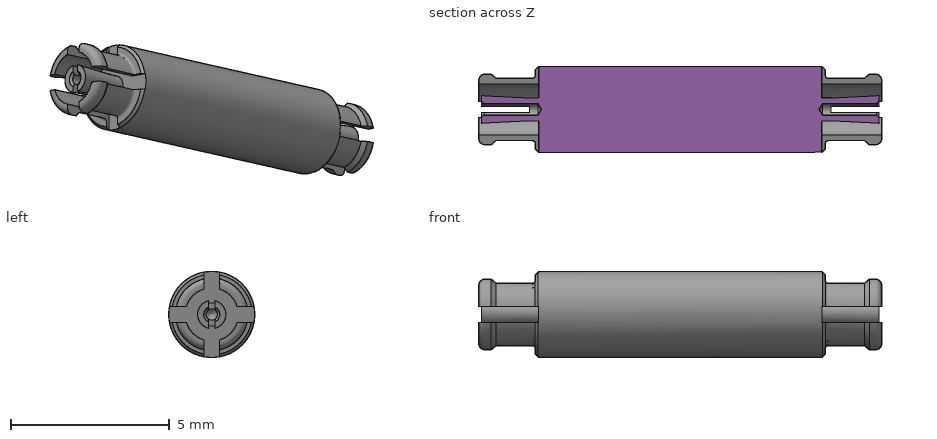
import cadquery as cq
import math


half_length = 6.35

barrel_radius = 1.36
barrel_half_length = 4.57
barrel_chamfer = 0.09

neck_radius = 1.02
neck_root_fillet = 0.09
bead_radius = 1.14
bead_tip_fillet = 0.2
bead_flat_length = 0.19
bead_taper_length = 0.15
socket_radius = 0.84
socket_floor = 4.46
finger_slot_width = 0.5

collar_radius = 0.37
collar_end = 4.75
contact_tip = 6.26
contact_tip_radius = 0.45
contact_slit_width = 0.19

hole_radius = 0.18
hole_mouth_radius = 0.25
hole_mouth_depth = 0.08
hole_depth = 1.78
drill_point_angle = 118.0


def revolve_about_x(profile):
    """Close a half profile drawn in the XY plane and spin it around the X axis."""
    return profile.close().revolve(360, (0, 0, 0), (1, 0, 0))


def outer_half():
    """Half of the barrel with the neck and rounded bead of its +X end, still solid."""
    bead_flat_start = half_length - bead_tip_fillet
    bead_flat_end = bead_flat_start - bead_flat_length
    fillet_reach = math.sqrt(0.5)
    tip_arc_middle = (
        bead_flat_start + bead_tip_fillet * fillet_reach,
        bead_radius - bead_tip_fillet * (1 - fillet_reach),
    )
    root_arc_middle = (
        barrel_half_length + neck_root_fillet * (1 - fillet_reach),
        neck_radius + neck_root_fillet * (1 - fillet_reach),
    )
    profile = (
        cq.Workplane("XY")
        .lineTo(0, barrel_radius)
        .lineTo(barrel_half_length - barrel_chamfer, barrel_radius)
        .lineTo(barrel_half_length, barrel_radius - barrel_chamfer)
        .lineTo(barrel_half_length, neck_radius + neck_root_fillet)
        .threePointArc(root_arc_middle, (barrel_half_length + neck_root_fillet, neck_radius))
        .lineTo(bead_flat_end - bead_taper_length, neck_radius)
        .lineTo(bead_flat_end, bead_radius)
        .lineTo(bead_flat_start, bead_radius)
        .threePointArc(tip_arc_middle, (half_length, bead_radius - bead_tip_fillet))
        .lineTo(half_length, 0)
    )
    return revolve_about_x(profile)


def socket_and_slots():
    """Material removed to leave four fingers: the round socket and two crossed slots."""
    depth = half_length - socket_floor
    floor = cq.Workplane("YZ", origin=(socket_floor, 0, 0))
    slot_length = 2 * barrel_radius
    return (
        floor.circle(socket_radius).extrude(depth)
        .union(floor.rect(slot_length, finger_slot_width).extrude(depth))
        .union(floor.rect(finger_slot_width, slot_length).extrude(depth))
    )


def centre_contact():
    """Collar on the socket floor carrying a contact that flares towards its tip."""
    profile = (
        cq.Workplane("XY")
        .lineTo(0, collar_radius)
        .lineTo(collar_end, collar_radius)
        .lineTo(contact_tip, contact_tip_radius)
        .lineTo(contact_tip, 0)
    )
    return revolve_about_x(profile)


def contact_hole():
    """Blind hole with a chamfered mouth and a drill-point bottom."""
    hole_bottom = contact_tip - hole_depth
    point_length = hole_radius / math.tan(math.radians(drill_point_angle / 2))
    profile = (
        cq.Workplane("XY")
        .moveTo(hole_bottom - point_length, 0)
        .lineTo(hole_bottom, hole_radius)
        .lineTo(contact_tip - hole_mouth_depth, hole_radius)
        .lineTo(contact_tip, hole_mouth_radius)
        .lineTo(contact_tip, 0)
    )
    return revolve_about_x(profile)


def contact_slit():
    """Slit that splits the contact along the XZ plane, down to the collar."""
    return (
        cq.Workplane("YZ", origin=(collar_end, 0, 0))
        .rect(contact_slit_width, 2 * contact_tip_radius)
        .extrude(contact_tip - collar_end)
    )


half = (
    outer_half()
    .cut(socket_and_slots())
    .union(centre_contact())
    .cut(contact_hole())
    .cut(contact_slit())
)
other_half = half.rotate((0, 0, 0), (0, 0, 1), 180)
result = half.union(other_half)